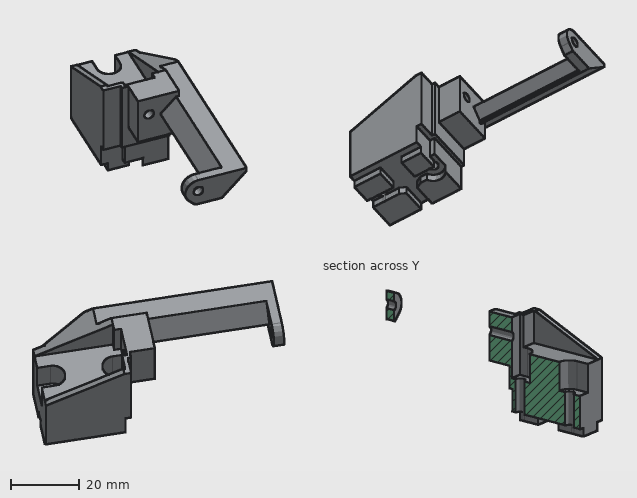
import cadquery as cq
import math

length = 72.4
depth = 26.35
height = 32.0

housing_length = 25.4
housing_depth = 20.55
slope_start_height = 22.1
slope_end_x = 23.4
cavity_floor = 22.0
cavity_front = 1.95
cavity_back = 18.2
corner_post_x = 23.4
corner_post_front = 16.2
front_ledge_x = 24.0
front_ledge_back = 6.8

mount_hole_xs = (4.0, 22.45)
mount_hole_y = 10.35
mount_hole_diameter = 3.2
counterbore_radius = 3.6
counterbore_floor = 13.1

groove_depth = 2.7
lengthwise_groove_width = 3.05
front_step = 2.2
cross_groove_x = 13.1
cross_groove_width = 3.85
cross_groove_mouth_width = 7.6
cross_groove_taper_depth = 0.95
corner_relief_x = 23.75
corner_relief_height = 9.6
underside_pocket_radius = 3.6

plate_end = 26.4
plate_front = 5.5
block_end = 33.9
block_front = 7.5
block_bottom = 16.65

arm_top = 30.1
arm_bottom = 21.15
arm_edge_thickness = 1.1
arm_flat_front = 19.6
arm_nose_y = 14.6
arm_web_front = 17.8
lug_thickness = 3.05
lug_radius = 4.1
pin_hole_y = 11.1
pin_hole_diameter = 3.0
pin_hole_z = arm_top - lug_radius

arm_heel_y = depth - (arm_top - arm_edge_thickness - arm_bottom)
arm_nose_z = arm_top - (arm_flat_front - arm_nose_y)
arm_web_top = arm_nose_z - (arm_web_front - arm_nose_y)


def box(x0, x1, y0, y1, z0, z1):
    return cq.Workplane("XY").box(x1 - x0, y1 - y0, z1 - z0, centered=False).translate((x0, y0, z0))


def upright_cylinder(x, y, radius, z0, z1):
    return cq.Workplane("XY").workplane(offset=z0).center(x, y).circle(radius).extrude(z1 - z0)


def make_arm():
    section = [
        (depth, arm_top),
        (arm_flat_front, arm_top),
        (arm_nose_y, arm_nose_z),
        (arm_web_front, arm_web_top),
        (arm_web_front, arm_bottom),
        (arm_heel_y, arm_bottom),
        (depth, arm_top - arm_edge_thickness),
    ]
    return cq.Workplane("YZ").polyline(section).close().extrude(length)


def make_lug():
    diagonal = lug_radius * math.sqrt(0.5)
    flat_start = (pin_hole_y - diagonal, pin_hole_z - diagonal)
    flat_end_y = flat_start[0] + flat_start[1] - arm_bottom
    return (
        cq.Workplane("YZ")
        .workplane(offset=length - lug_thickness)
        .moveTo(depth, arm_top)
        .lineTo(pin_hole_y, arm_top)
        .threePointArc((pin_hole_y - lug_radius, pin_hole_z), flat_start)
        .lineTo(flat_end_y, arm_bottom)
        .lineTo(arm_heel_y, arm_bottom)
        .lineTo(depth, arm_top - arm_edge_thickness)
        .close()
        .extrude(lug_thickness)
    )


def make_cavity():
    full_depth = box(0, corner_post_x, cavity_front, cavity_back, cavity_floor, height)
    front_part = box(0, front_ledge_x, cavity_front, corner_post_front, cavity_floor, height)
    back_part = box(0, housing_length, front_ledge_back, corner_post_front, cavity_floor, height)
    return full_depth.union(front_part).union(back_part)


def make_counterbore(x, open_end):
    x0, x1 = sorted((x, open_end))
    y0 = mount_hole_y - counterbore_radius
    y1 = mount_hole_y + counterbore_radius
    slot = box(x0, x1, y0, y1, counterbore_floor, height)
    round_end = upright_cylinder(x, mount_hole_y, counterbore_radius, counterbore_floor, height)
    return slot.union(round_end).intersect(box(0, housing_length, y0, y1, counterbore_floor, height))


def make_underside_cuts():
    groove_front = mount_hole_y - lengthwise_groove_width / 2
    groove_back = mount_hole_y + lengthwise_groove_width / 2
    cuts = box(0, housing_length, groove_front, groove_back, 0, groove_depth)
    cuts = cuts.union(box(0, housing_length, 0, front_step, 0, groove_depth))

    mouth = cross_groove_mouth_width / 2
    throat = cross_groove_width / 2
    taper_end = groove_back + cross_groove_taper_depth
    cross_groove = (
        cq.Workplane("XY")
        .polyline([
            (cross_groove_x - mouth, 0),
            (cross_groove_x + mouth, 0),
            (cross_groove_x + mouth, groove_back),
            (cross_groove_x + throat, taper_end),
            (cross_groove_x + throat, housing_depth),
            (cross_groove_x - throat, housing_depth),
            (cross_groove_x - throat, taper_end),
            (cross_groove_x - mouth, groove_back),
        ])
        .close()
        .extrude(groove_depth)
    )
    cuts = cuts.union(cross_groove)

    relief = box(corner_relief_x, housing_length, 0, front_ledge_back, 0, corner_relief_height)
    cuts = cuts.union(relief)
    cuts = cuts.union(box(corner_relief_x, housing_length, 0, groove_front, 0, groove_depth))
    pocket = upright_cylinder(mount_hole_xs[1], mount_hole_y, underside_pocket_radius, 0, groove_depth)
    pocket = pocket.intersect(box(0, housing_length, groove_front, housing_depth, 0, groove_depth))
    return cuts.union(pocket)


body = box(0, housing_length, 0, housing_depth, 0, height)
body = body.union(box(housing_length, plate_end, plate_front, housing_depth, corner_relief_height, height))
body = body.union(box(housing_length, block_end, block_front, housing_depth, block_bottom, height))
body = body.union(make_arm()).union(make_lug())

slope_waste = (
    cq.Workplane("XZ")
    .polyline([(0, slope_start_height), (slope_end_x, height), (0, height)])
    .close()
    .extrude(-depth)
)
body = body.cut(slope_waste).cut(make_cavity())

for hole_x, end_x in zip(mount_hole_xs, (0, housing_length)):
    body = body.cut(make_counterbore(hole_x, end_x))
    body = body.cut(upright_cylinder(hole_x, mount_hole_y, mount_hole_diameter / 2, 0, height))

body = body.cut(make_underside_cuts())

pin_hole = cq.Workplane("YZ").center(pin_hole_y, pin_hole_z).circle(pin_hole_diameter / 2).extrude(length)
result = body.cut(pin_hole)